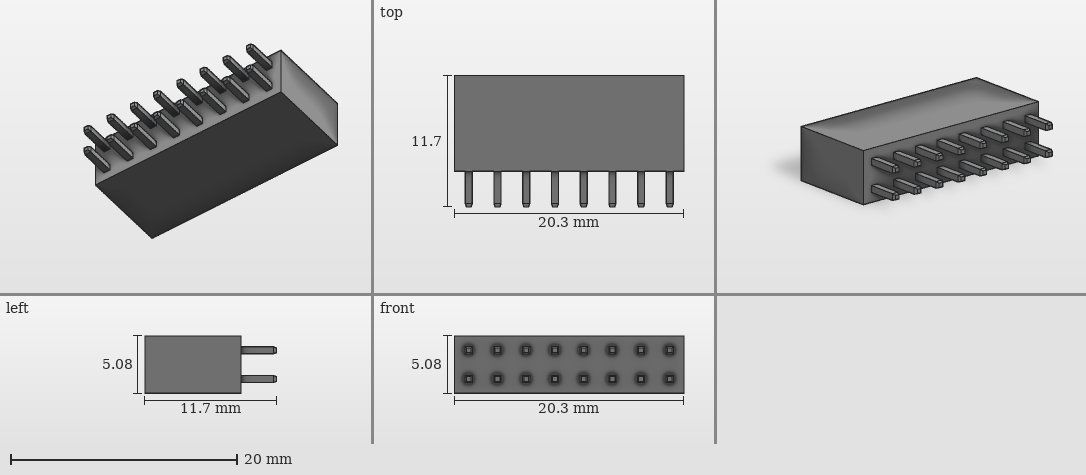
import cadquery as cq

pitch = 2.54
columns = 8
rows = 2
body_depth = 8.5
pin_length = 3.15
pin_width = 0.635
tip_length = 0.3
tip_inset = pin_width / 6

body_width = columns * pitch
body_height = rows * pitch


def make_body():
    """Plain rectangular housing with its front face on Y = 0."""
    return cq.Workplane("XY").box(body_width, body_depth, body_height, centered=(True, False, True))


def make_pin(x, z):
    """Square pin running from the front face toward -Y, ending in a tapered tip."""
    shank_length = pin_length - tip_length
    tip_width = pin_width - 2 * tip_inset
    front_face = cq.Workplane("XZ", origin=(x, 0, z))
    shank = front_face.rect(pin_width, pin_width).extrude(shank_length)
    tip = (
        front_face.workplane(offset=shank_length)
        .rect(pin_width, pin_width)
        .workplane(offset=tip_length)
        .rect(tip_width, tip_width)
        .loft(ruled=True)
    )
    return shank.union(tip)


result = make_body()
for column in range(columns):
    for row in range(rows):
        pin_x = (column - (columns - 1) / 2) * pitch
        pin_z = (row - (rows - 1) / 2) * pitch
        result = result.union(make_pin(pin_x, pin_z))